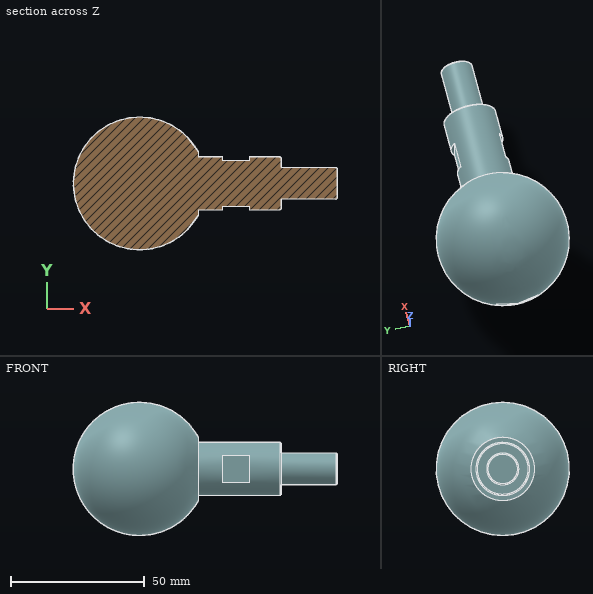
import cadquery as cq
import math

BALL_DIAMETER = 50.0
BALL_FLAT_X = 22.0

SHANK_DIAMETER = 20.0
SHANK_END_X = 53.0
SHANK_CHAMFER = 0.5

STUD_DIAMETER = 12.0
STUD_END_X = 74.0
STUD_CHAMFER = 0.5

FLAT_START_X = 31.0
FLAT_SIDE = 10.0
FLAT_DISTANCE = math.sqrt((SHANK_DIAMETER / 2) ** 2 - (FLAT_SIDE / 2) ** 2)


def make_ball():
    """Sphere with its +X cap cut off flat."""
    ball = cq.Workplane("XY").sphere(BALL_DIAMETER / 2)
    flat_plane = cq.Workplane("YZ", origin=(BALL_FLAT_X, 0, 0))
    cap = flat_plane.rect(BALL_DIAMETER, BALL_DIAMETER).extrude(BALL_DIAMETER)
    return ball.cut(cap)


def make_rod(diameter, end_x, chamfer):
    """Round rod from the ball centre to end_x, chamfered at its free end."""
    return cq.Workplane("YZ").circle(diameter / 2).extrude(end_x).faces(">X").chamfer(chamfer)


def make_flat_cutter(side):
    """Block that removes the shank beyond one wrench flat; side is -1 or +1 along Y."""
    depth = SHANK_DIAMETER / 2
    center_x = FLAT_START_X + FLAT_SIDE / 2
    center_y = side * (FLAT_DISTANCE + depth / 2)
    block = cq.Workplane("XY").box(FLAT_SIDE, depth, SHANK_DIAMETER)
    return block.translate((center_x, center_y, 0))


shank = make_rod(SHANK_DIAMETER, SHANK_END_X, SHANK_CHAMFER)
for flat_side in (-1, 1):
    shank = shank.cut(make_flat_cutter(flat_side))

stud = make_rod(STUD_DIAMETER, STUD_END_X, STUD_CHAMFER)

result = make_ball().union(shank).union(stud)